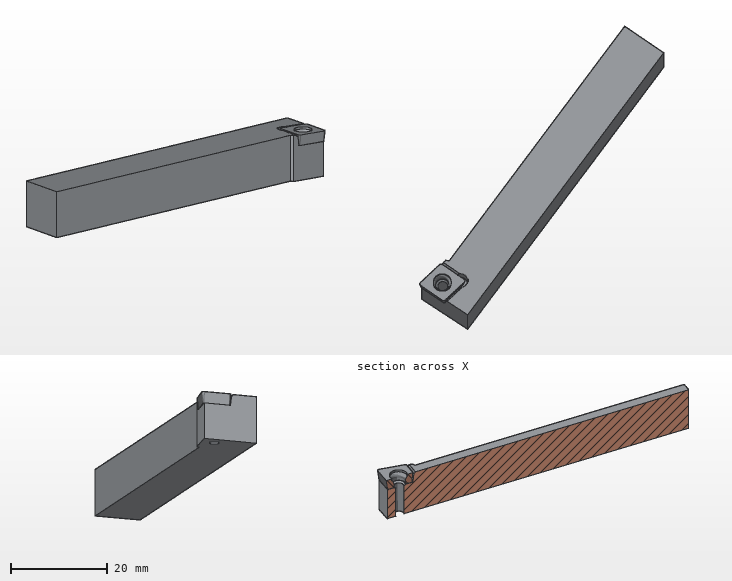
import cadquery as cq
import math


overall_width = 12.13
overall_length = 70.74

shank_size = 10.0
end_y_at_back_flank = 70.28
end_y_at_tip = 70.48
head_start_y = 62.9
head_step_x = 10.66
head_step_y = 63.22
head_tip_x = 11.65

inscribed_diameter = 6.35
insert_thickness = 2.38
corner_angle = math.radians(80)
relief_angle = 7.0
nose_radius = 0.4
insert_hole_diameter = 2.8
screw_recess_diameter = 3.75
screw_recess_depth = 0.5
screw_seat_radius = 1.25

wall_clearance = 0.17
wall_chamfer_depth = 0.35
wall_chamfer_angle = 45.0
corner_relief_diameter = 3.0
corner_relief_x = 5.6
corner_relief_y = 65.08
screw_hole_diameter = 2.05
screw_hole_mouth_diameter = 3.0
screw_hole_mouth_depth = 0.35
screw_hole_offset = (-0.08, -0.06)
pocket_reach = 20.0

insert_side = inscribed_diameter / math.sin(corner_angle)
nose_setback = nose_radius / math.tan(corner_angle / 2) - nose_radius
nose_x = overall_width + nose_setback
side_lean = inscribed_diameter / math.tan(corner_angle)
inner_corner_x = nose_x - insert_side - side_lean
inner_corner_y = overall_length - inscribed_diameter
insert_center_x = (nose_x + inner_corner_x) / 2
insert_center_y = overall_length - inscribed_diameter / 2

seat_z = shank_size - insert_thickness
relief_inset = insert_thickness * math.tan(math.radians(relief_angle))
seat_inset = relief_inset - wall_clearance
seat_corner_x = inner_corner_x + seat_inset / math.tan(corner_angle / 2)
seat_corner_y = inner_corner_y + seat_inset


def rhombus(corner_x, corner_y, side, z):
    """80 degree rhombus drawn from its lower left corner."""
    rise = side * math.sin(corner_angle)
    lean = side * math.cos(corner_angle)
    return cq.Workplane("XY", origin=(corner_x, corner_y, z)).polyline(
        [(0, 0), (side, 0), (side + lean, rise), (lean, rise)]
    ).close()


def make_insert():
    top_face = (
        cq.Sketch()
        .face(rhombus(inner_corner_x, inner_corner_y, insert_side, 0).wire().val())
        .vertices()
        .fillet(nose_radius)
    )
    body = (
        cq.Workplane("XY", origin=(0, 0, shank_size))
        .placeSketch(top_face)
        .extrude(-insert_thickness, taper=relief_angle)
    )
    return body.cut(make_insert_hole())


def make_insert_hole():
    """Through hole whose screw recess narrows to it over a convex arc."""
    hole_radius = insert_hole_diameter / 2
    recess_radius = screw_recess_diameter / 2
    recess_floor_z = shank_size - screw_recess_depth

    seat_sweep = math.acos(1 - (recess_radius - hole_radius) / screw_seat_radius)
    arc_end_z = recess_floor_z - screw_seat_radius * math.sin(seat_sweep)
    arc_middle = (
        hole_radius + screw_seat_radius * (1 - math.cos(seat_sweep / 2)),
        arc_end_z + screw_seat_radius * math.sin(seat_sweep / 2),
    )
    profile = (
        cq.Workplane("XZ")
        .moveTo(0, seat_z)
        .lineTo(hole_radius, seat_z)
        .lineTo(hole_radius, arc_end_z)
        .threePointArc(arc_middle, (recess_radius, recess_floor_z))
        .lineTo(recess_radius, shank_size)
        .lineTo(0, shank_size)
        .close()
    )
    hole = profile.revolve(360, (0, 0, 0), (0, 1, 0))
    return hole.translate((insert_center_x, insert_center_y, 0))


def make_holder_blank():
    outline = [
        (0, 0),
        (shank_size, 0),
        (shank_size, head_start_y),
        (head_step_x, head_step_y),
        (head_tip_x, end_y_at_tip),
        (0, end_y_at_back_flank),
    ]
    return cq.Workplane("XY").polyline(outline).close().extrude(shank_size)


def make_pocket():
    """Open seat whose two walls run parallel to the insert's flanks and are chamfered at the top."""
    wall_height = insert_thickness - wall_chamfer_depth
    wall_spread = wall_height * math.tan(math.radians(relief_angle))
    seat = rhombus(seat_corner_x, seat_corner_y, pocket_reach, seat_z).extrude(
        wall_height, taper=-relief_angle
    )
    chamfer = rhombus(
        seat_corner_x - wall_spread / math.tan(corner_angle / 2),
        seat_corner_y - wall_spread,
        pocket_reach,
        seat_z + wall_height,
    ).extrude(wall_chamfer_depth, taper=-wall_chamfer_angle)
    corner_relief = (
        cq.Workplane("XY", origin=(corner_relief_x, corner_relief_y, seat_z))
        .circle(corner_relief_diameter / 2)
        .extrude(insert_thickness)
    )
    return seat.union(chamfer).union(corner_relief)


def make_screw_hole():
    """Through hole for the clamping screw, with a conical mouth in the seat floor."""
    hole_radius = screw_hole_diameter / 2
    mouth_radius = screw_hole_mouth_diameter / 2
    profile = cq.Workplane("XZ").polyline(
        [
            (0, 0),
            (hole_radius, 0),
            (hole_radius, seat_z - screw_hole_mouth_depth),
            (mouth_radius, seat_z),
            (0, seat_z),
        ]
    ).close()
    offset_x, offset_y = screw_hole_offset
    hole = profile.revolve(360, (0, 0, 0), (0, 1, 0))
    return hole.translate((insert_center_x + offset_x, insert_center_y + offset_y, 0))


insert = make_insert()
holder = make_holder_blank().cut(make_pocket()).cut(make_screw_hole())

result = cq.Compound.makeCompound([holder.val(), insert.val()])